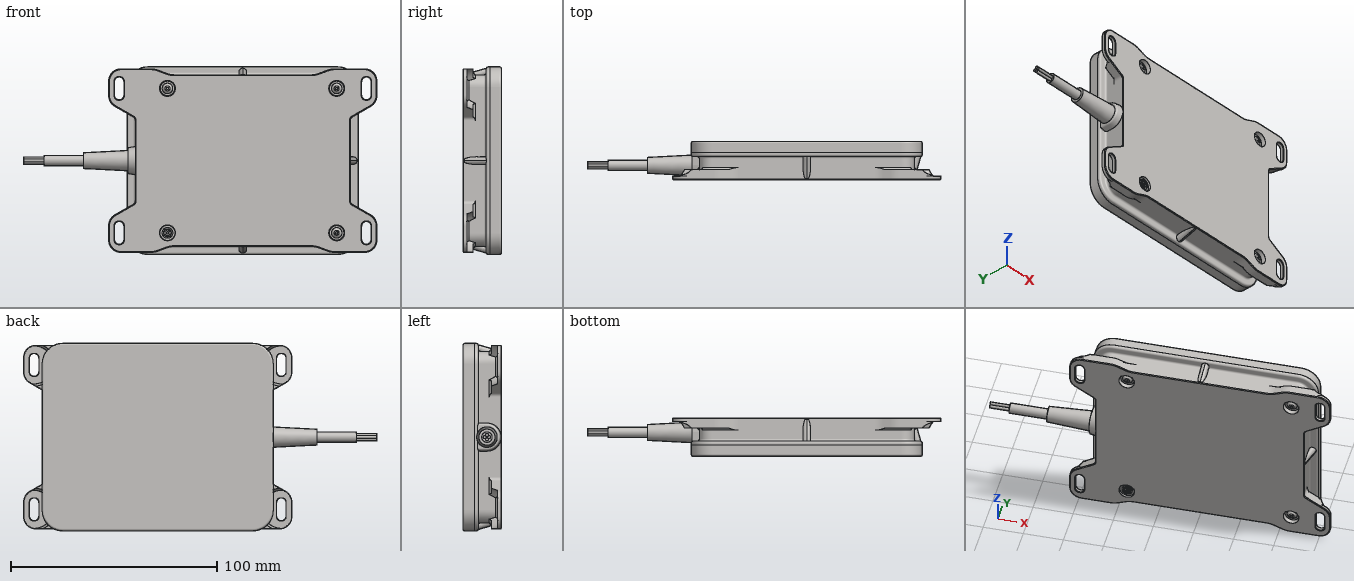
import cadquery as cq
import math


THICKNESS = 18.75
HALF_X = 56.0
HALF_Z = 45.5
CORNER_RADIUS = 10.0
PARTING_Y = 13.2
LID_EDGE_FILLET = 1.0

FLANGE_ROUND = 1.0
FLANGE_Y = 11.3
WALL_INSET = 3.9
WALL_FILLET = 1.0

PLATE_HALF_X = HALF_X - WALL_INSET
PLATE_HALF_Z = HALF_Z - WALL_INSET
BOTTOM_CHAMFER = 0.4
EAR_X = 65.0
EAR_Z = 44.5
EAR_NECK_Z = 20.6
EAR_SIDE_ANGLE = 30.0
EAR_RADIUS = 6.0
NECK_RADIUS = 2.0
EAR_SHOULDER_X = (42.8, 35.1)
SHOULDER_RADIUS = 10.0
EAR_THICKNESS = 1.9
BLOCK_HEIGHT = 5.0
BEAD = 1.0
SLOT_X = 59.9
SLOT_Z = 35.0
SLOT_WIDTH = 4.5
SLOT_LENGTH = 11.0
SLOT_CHAMFER = 0.3
SLOT_PLACES = [(x, z) for x in (-SLOT_X, SLOT_X) for z in (-SLOT_Z, SLOT_Z)]
CLEARANCE_FLOOR_RADIUS = 9.2
CLEARANCE_TOP_RADIUS = 10.3

RECESS_CENTER_X = 4.5
RECESS_PITCH_X = 82.0
RECESS_Z = 35.0
RECESS_MOUTH_DIAMETER = 7.7
RECESS_FLOOR_DIAMETER = 7.0
RECESS_DEPTH = 2.2
DOME_DIAMETER = 5.1
DOME_HEIGHT = 1.6
DOME_SHOULDER_DIAMETER = 2.4
DOME_SHOULDER_HEIGHT = 1.3
DOME_TIP_DIAMETER = 1.1

PLUG_Y = 1.1
PLUG_RING_DIAMETERS = (5.2, 3.8, 2.6, 1.1)
PLUG_RING_HEIGHT = 0.25

RIB_TOP_Y = PARTING_Y - 0.5
RIB_RADIUS = 1.9
RIB_TOP_INSET = 0.3
RIB_BOTTOM_Y = 0.8
RIB_BOTTOM_HEIGHT = 0.2

CABLE_Y = 7.1
BOOT_END_X = -77.2
BOOT_END_DIAMETER = 7.8
BOOT_DIAMETER = 10.0
BOOT_SEAT_DEPTH = 6.0
BOOT_SEAT_X = -HALF_X + BOOT_SEAT_DEPTH
JACKET_DIAMETER = 5.1
JACKET_END_X = -96.3
TOTAL_LENGTH = 171.22
WIRE_END_X = EAR_X - TOTAL_LENGTH
WIRE_DIAMETER = 1.5
WIRE_COUNT = 4
COLLAR_FACE_X = -HALF_X + 0.3
COLLAR_RADIUS = 7.0
COLLAR_ROOT_DEPTH = 1.0
COLLAR_DRAFT = 9.0
COLLAR_TOP_Y = 13.0
COLLAR_EDGE_FILLET = 0.9


def layer(y):
    """Workplane at height y looking along +Y; its local y axis is -Z."""
    return cq.Workplane(cq.Plane(origin=(0, y, 0), xDir=(1, 0, 0), normal=(0, 1, 0)))


def case_slab(inset, y_low, y_high, taper=0.0):
    """Rounded slab, inset from the case outline at y_low."""
    sketch = (
        cq.Sketch()
        .rect(2 * (HALF_X - inset), 2 * (HALF_Z - inset))
        .vertices()
        .fillet(CORNER_RADIUS - inset)
    )
    return layer(y_low).placeSketch(sketch).extrude(y_high - y_low, taper=taper)


def in_line(diameter, x_start, x_end):
    """Round bar along the cable axis."""
    plane = cq.Plane(origin=(x_start, CABLE_Y, 0), xDir=(0, 1, 0), normal=(1, 0, 0))
    return cq.Workplane(plane).circle(diameter / 2).extrude(x_end - x_start)


def make_lid():
    return case_slab(0, PARTING_Y, THICKNESS).faces(">Y").edges().fillet(LID_EDGE_FILLET)


def make_flange_and_wall():
    flange = case_slab(0, FLANGE_Y, PARTING_Y).faces("<Y").edges().fillet(FLANGE_ROUND)
    body = flange.union(case_slab(WALL_INSET, BOTTOM_CHAMFER, FLANGE_Y))
    wall_edges = body.faces("<Y[1]").wires().item(1).edges()
    return wall_edges.fillet(WALL_FILLET)


def upright_edges(x, z):
    """Selects the edges along Y at the four mirrored places (+-x, +-z)."""
    reach = 0.1
    tall = 2 * THICKNESS
    boxes = [
        cq.selectors.BoxSelector(
            (sx * x - reach, -tall, sz * z - reach), (sx * x + reach, tall, sz * z + reach)
        )
        for sx in (-1, 1)
        for sz in (-1, 1)
    ]
    return boxes[0] + boxes[1] + boxes[2] + boxes[3]


def plate_prism(height):
    """The plate outline with its four ears, extruded from the mounting face."""
    ear_side_rise = (EAR_X - PLATE_HALF_X) * math.tan(math.radians(EAR_SIDE_ANGLE))
    shoulder_outer, shoulder_inner = EAR_SHOULDER_X
    quarter = [
        (PLATE_HALF_X, EAR_NECK_Z),
        (EAR_X, EAR_NECK_Z + ear_side_rise),
        (EAR_X, EAR_Z),
        (shoulder_outer, EAR_Z),
        (shoulder_inner, PLATE_HALF_Z),
    ]
    upper = quarter + [(-x, z) for x, z in reversed(quarter)]
    lower = [(-x, -z) for x, z in upper]
    prism = layer(0).polyline(upper + lower).close().extrude(height)
    prism = prism.edges(upright_edges(EAR_X, EAR_Z)).fillet(EAR_RADIUS)
    prism = prism.edges(upright_edges(EAR_X, EAR_NECK_Z + ear_side_rise)).fillet(EAR_RADIUS)
    prism = prism.edges(upright_edges(PLATE_HALF_X, EAR_NECK_Z)).fillet(NECK_RADIUS)
    prism = prism.edges(upright_edges(shoulder_outer, EAR_Z)).fillet(SHOULDER_RADIUS)
    return prism.edges(upright_edges(shoulder_inner, PLATE_HALF_Z)).fillet(SHOULDER_RADIUS)


def make_bead(y):
    """Slab around the wall whose side leans in at 45 degrees from height y up to the wall."""
    return case_slab(WALL_INSET - BEAD, y, y + BEAD, taper=45)


def make_plate():
    ears = plate_prism(EAR_THICKNESS).faces("<Y").edges().chamfer(BOTTOM_CHAMFER)
    bead = make_bead(BLOCK_HEIGHT)
    block = plate_prism(BLOCK_HEIGHT + BEAD)
    block = block.cut(layer(BLOCK_HEIGHT).rect(4 * EAR_X, 4 * EAR_Z).extrude(BEAD).cut(bead))
    spread = CLEARANCE_TOP_RADIUS - CLEARANCE_FLOOR_RADIUS
    taper = -math.degrees(math.atan2(spread, BLOCK_HEIGHT - EAR_THICKNESS))
    clearances = (
        layer(EAR_THICKNESS)
        .pushPoints(SLOT_PLACES)
        .circle(CLEARANCE_FLOOR_RADIUS)
        .extrude(BLOCK_HEIGHT + BEAD - EAR_THICKNESS, taper=taper)
    )
    below = layer(0).rect(4 * EAR_X, 4 * EAR_Z).extrude(BOTTOM_CHAMFER)
    low_bead = make_bead(EAR_THICKNESS).intersect(plate_prism(BLOCK_HEIGHT))
    return ears.union(block.cut(clearances).cut(below)).union(low_bead)


def make_slots():
    slots = layer(0).pushPoints(SLOT_PLACES).slot2D(SLOT_LENGTH, SLOT_WIDTH, 90).extrude(BLOCK_HEIGHT)
    mouths = (
        layer(0)
        .pushPoints(SLOT_PLACES)
        .slot2D(SLOT_LENGTH + 2 * SLOT_CHAMFER, SLOT_WIDTH + 2 * SLOT_CHAMFER, 90)
        .extrude(SLOT_CHAMFER, taper=45)
    )
    return slots.union(mouths)


def make_rib(flange_distance):
    """Leaning round rib on the +X side, from the flange side down to the foot of the wall."""
    top_x = flange_distance - RIB_TOP_INSET - RIB_RADIUS
    bottom_x = flange_distance - WALL_INSET + RIB_BOTTOM_HEIGHT - RIB_RADIUS
    return (
        layer(RIB_BOTTOM_Y)
        .center(bottom_x, 0)
        .circle(RIB_RADIUS)
        .workplane(offset=RIB_TOP_Y - RIB_BOTTOM_Y)
        .center(top_x - bottom_x, 0)
        .circle(RIB_RADIUS)
        .loft(ruled=True)
    )


def make_collar():
    """U-shaped boss around the cable entry, open into the flange."""
    root_x = -PLATE_HALF_X + COLLAR_ROOT_DEPTH
    length = root_x - COLLAR_FACE_X
    plane = cq.Plane(origin=(root_x, CABLE_Y, 0), xDir=(0, 1, 0), normal=(-1, 0, 0))
    top = COLLAR_TOP_Y - CABLE_Y
    return (
        cq.Workplane(plane)
        .moveTo(0, COLLAR_RADIUS)
        .lineTo(top, COLLAR_RADIUS)
        .lineTo(top, -COLLAR_RADIUS)
        .lineTo(0, -COLLAR_RADIUS)
        .threePointArc((-COLLAR_RADIUS, 0), (0, COLLAR_RADIUS))
        .close()
        .extrude(length, taper=COLLAR_DRAFT)
        .faces("<X")
        .edges()
        .fillet(COLLAR_EDGE_FILLET)
    )


def recess_space(x, z, y_face):
    """The conical space of a recess, from y_face down to its floor."""
    shrink = (RECESS_MOUTH_DIAMETER - RECESS_FLOOR_DIAMETER) / 2 / RECESS_DEPTH
    radius = RECESS_MOUTH_DIAMETER / 2 - shrink * y_face
    taper = math.degrees(math.atan(shrink))
    return layer(y_face).center(x, -z).circle(radius).extrude(RECESS_DEPTH - y_face, taper=taper)


def make_dome(x, z):
    """Low cone standing on the floor of a recess."""
    return (
        cq.Workplane("XY")
        .moveTo(0, RECESS_DEPTH)
        .lineTo(DOME_DIAMETER / 2, RECESS_DEPTH)
        .lineTo(DOME_SHOULDER_DIAMETER / 2, RECESS_DEPTH - DOME_SHOULDER_HEIGHT)
        .lineTo(DOME_TIP_DIAMETER / 2, RECESS_DEPTH - DOME_HEIGHT)
        .lineTo(0, RECESS_DEPTH - DOME_HEIGHT)
        .close()
        .revolve(360, (0, 0, 0), (0, 1, 0))
        .translate((x, 0, z))
    )


recess_left = RECESS_CENTER_X - RECESS_PITCH_X / 2
recess_right = RECESS_CENTER_X + RECESS_PITCH_X / 2
plug_place = (recess_left, -RECESS_Z)
dome_places = [(recess_left, RECESS_Z), (recess_right, RECESS_Z), (recess_right, -RECESS_Z)]


def make_base():
    base = make_flange_and_wall().union(make_plate())
    base = base.union(make_rib(HALF_X))
    long_side_rib = make_rib(HALF_Z)
    for angle in (90, -90):
        base = base.union(long_side_rib.rotate((0, 0, 0), (0, 1, 0), angle))
    base = base.union(make_collar())
    base = base.cut(make_slots())
    for x, z in dome_places + [plug_place]:
        base = base.cut(recess_space(x, z, 0))
    for x, z in dome_places:
        base = base.union(make_dome(x, z))
    return base.cut(in_line(BOOT_DIAMETER, BOOT_END_X, BOOT_SEAT_X))


def make_plug():
    """Round plug with a stepped stack of rings on its face."""
    x, z = plug_place
    plug = recess_space(x, z, PLUG_Y)
    for step, diameter in enumerate(PLUG_RING_DIAMETERS, start=1):
        height = step * PLUG_RING_HEIGHT
        plug = plug.union(layer(PLUG_Y - height).center(x, -z).circle(diameter / 2).extrude(height))
    return plug


def make_boot():
    """Strain relief: a cone outside the case, a plain cylinder inside the base."""
    boot = (
        cq.Workplane("XY")
        .moveTo(BOOT_END_X, 0)
        .lineTo(BOOT_END_X, BOOT_END_DIAMETER / 2)
        .lineTo(-HALF_X, BOOT_DIAMETER / 2)
        .lineTo(BOOT_SEAT_X, BOOT_DIAMETER / 2)
        .lineTo(BOOT_SEAT_X, 0)
        .close()
        .revolve(360, (0, 0, 0), (1, 0, 0))
        .translate((0, CABLE_Y, 0))
    )
    return boot.cut(in_line(JACKET_DIAMETER, BOOT_END_X, BOOT_SEAT_X))


def make_jacket():
    return in_line(JACKET_DIAMETER, JACKET_END_X, BOOT_SEAT_X)


def make_wires():
    """Bare cores butting against the jacket end, on a circle so that neighbours just touch."""
    ring_radius = WIRE_DIAMETER / 2 / math.sin(math.pi / WIRE_COUNT)
    core = in_line(WIRE_DIAMETER, WIRE_END_X, JACKET_END_X)
    wires = []
    for number in range(WIRE_COUNT):
        angle = 2 * math.pi * number / WIRE_COUNT
        wires.append(core.translate((0, ring_radius * math.cos(angle), ring_radius * math.sin(angle))))
    return wires


lid = make_lid()
base = make_base()
plug = make_plug()
boot = make_boot()
jacket = make_jacket()
wires = make_wires()

result = cq.Compound.makeCompound(
    [lid.val(), base.val(), plug.val(), boot.val(), jacket.val(), *[wire.val() for wire in wires]]
)